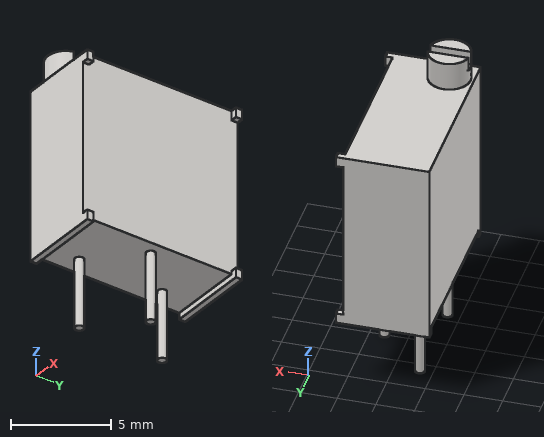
import cadquery as cq

HOUSING_X = 4.83
HOUSING_Y = 9.53
HOUSING_Z = 10.03
STANDOFF = 0.38
PAD_HEIGHT = 0.56

SCREW_DIAMETER = 2.2
SCREW_HEIGHT = 1.54
SCREW_INSET = 1.27
SLOT_WIDTH = 0.55
SLOT_DEPTH = 0.76

PIN_DIAMETER = 0.5
PIN_PITCH = 2.55
PIN_ROW_X = 1.1
OVERALL_Z = 15.25
PIN_TIP_Z = HOUSING_Z + SCREW_HEIGHT - OVERALL_Z


def make_housing():
    """Block with a rail along each lower Y edge and a pad at each corner of the +X face."""
    block = cq.Workplane("XY").box(HOUSING_X, HOUSING_Y, HOUSING_Z, centered=False)
    gap_in_y = HOUSING_Y - 2 * STANDOFF
    gap_in_z = HOUSING_Z - 2 * PAD_HEIGHT

    underside_recess = (
        cq.Workplane("XY")
        .box(HOUSING_X, gap_in_y, STANDOFF, centered=False)
        .translate((0, STANDOFF, 0))
    )

    recess_x = HOUSING_X - STANDOFF
    upright_recess = (
        cq.Workplane("XY")
        .box(STANDOFF, gap_in_y, HOUSING_Z, centered=False)
        .translate((recess_x, STANDOFF, 0))
    )
    level_recess = (
        cq.Workplane("XY")
        .box(STANDOFF, HOUSING_Y, gap_in_z, centered=False)
        .translate((recess_x, 0, PAD_HEIGHT))
    )
    return block.cut(underside_recess).cut(upright_recess).cut(level_recess)


def make_screw():
    """Round screw head standing on the housing, with a driver slot along X."""
    head = cq.Workplane("XY").circle(SCREW_DIAMETER / 2).extrude(SCREW_HEIGHT)
    slot = (
        cq.Workplane("XY")
        .workplane(offset=SCREW_HEIGHT - SLOT_DEPTH)
        .rect(SCREW_DIAMETER, SLOT_WIDTH)
        .extrude(SLOT_DEPTH)
    )
    return head.cut(slot).translate((SCREW_INSET, SCREW_INSET, HOUSING_Z))


def make_pin(x, y):
    """Round pin hanging from the recessed underside of the housing."""
    return (
        cq.Workplane("XY")
        .workplane(offset=PIN_TIP_Z)
        .center(x, y)
        .circle(PIN_DIAMETER / 2)
        .extrude(STANDOFF - PIN_TIP_Z)
    )


housing = make_housing()
screw = make_screw()

pins = []
for step in (-1, 0, 1):
    pin_x = PIN_ROW_X + (PIN_PITCH if step == 0 else 0)
    pin_y = HOUSING_Y / 2 + PIN_PITCH * step
    pins.append(make_pin(pin_x, pin_y).val())

result = cq.Compound.makeCompound([housing.val(), screw.val(), *pins])